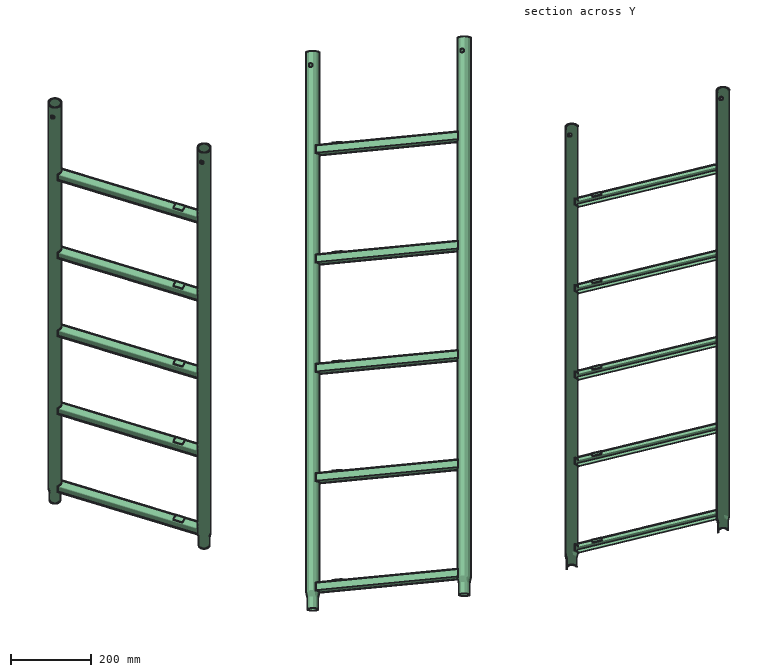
import cadquery as cq

LADDER_HEIGHT = 1426.0
STILE_SPACING = 400.0
STILE_DIAMETER = 33.7
TUBE_WALL = 2.4
SPIGOT_DIAMETER = 28.0
SPIGOT_LENGTH = 31.0
TAPER_LENGTH = 12.0
TAPER_BLEND_RADIUS = 15.0
SELECTION_MARGIN = 1.0
PIN_HOLE_DIAMETER = 10.0
PIN_HOLE_DROP = 36.0

RUNG_COUNT = 5
RUNG_PITCH = 280.0
FIRST_RUNG_TOP = 66.2
RUNG_DEPTH = 25.0
RUNG_HEIGHT = 22.5
RUNG_WALL = 2.0
RUNG_TOP_RADIUS = 3.5
RUNG_BOTTOM_RADIUS = 1.0

PAD_LENGTH = 25.0
PAD_RISE = 2.2
PAD_CENTER_X = 133.0

stile_radius = STILE_DIAMETER / 2
spigot_radius = SPIGOT_DIAMETER / 2
taper_top = SPIGOT_LENGTH + TAPER_LENGTH
stile_centers = [(-STILE_SPACING / 2, 0), (STILE_SPACING / 2, 0)]
rung_flat_width = RUNG_DEPTH - 2 * RUNG_TOP_RADIUS


def stile_envelope(tube_radius, foot_radius):
    """Solid of revolution: narrow foot, blended taper, then a straight length to the top."""
    half_profile = [
        (0, 0),
        (foot_radius, 0),
        (foot_radius, SPIGOT_LENGTH),
        (tube_radius, taper_top),
        (tube_radius, LADDER_HEIGHT),
        (0, LADDER_HEIGHT),
    ]
    solid = cq.Workplane("XZ").polyline(half_profile).close().revolve(360, (0, 0, 0), (0, 1, 0))
    taper_ends = cq.selectors.BoxSelector(
        (-STILE_DIAMETER, -STILE_DIAMETER, SPIGOT_LENGTH - SELECTION_MARGIN),
        (STILE_DIAMETER, STILE_DIAMETER, taper_top + SELECTION_MARGIN),
    )
    return solid.edges("%CIRCLE").edges(taper_ends).fillet(TAPER_BLEND_RADIUS)


def make_stile(center):
    outside = stile_envelope(stile_radius, spigot_radius)
    bore = stile_envelope(stile_radius - TUBE_WALL, spigot_radius - TUBE_WALL)
    pin_hole = (
        cq.Workplane("XZ")
        .center(0, LADDER_HEIGHT - PIN_HOLE_DROP)
        .circle(PIN_HOLE_DIAMETER / 2)
        .extrude(STILE_DIAMETER, both=True)
    )
    return outside.cut(bore).cut(pin_hole).translate((*center, 0))


def make_rung(top_z):
    """Tube coped around both stiles, with its pad; modelled with the top at Z = 0."""
    outside = (
        cq.Workplane("YZ")
        .center(0, -RUNG_HEIGHT / 2)
        .rect(RUNG_DEPTH, RUNG_HEIGHT)
        .extrude(STILE_SPACING / 2, both=True)
        .edges("|X and >Z")
        .fillet(RUNG_TOP_RADIUS)
        .edges("|X and <Z")
        .fillet(RUNG_BOTTOM_RADIUS)
    )
    bore = (
        cq.Workplane("YZ")
        .center(0, -RUNG_HEIGHT / 2)
        .rect(RUNG_DEPTH - 2 * RUNG_WALL, RUNG_HEIGHT - 2 * RUNG_WALL)
        .extrude(STILE_SPACING / 2, both=True)
        .edges("|X and >Z")
        .fillet(RUNG_TOP_RADIUS - RUNG_WALL)
    )
    copes = (
        cq.Workplane("XY")
        .pushPoints(stile_centers)
        .circle(stile_radius)
        .extrude(2 * RUNG_HEIGHT, both=True)
    )
    pad = (
        cq.Workplane("XY")
        .center(PAD_CENTER_X, 0)
        .rect(PAD_LENGTH, rung_flat_width)
        .extrude(PAD_RISE)
    )
    return outside.cut(bore).cut(copes).union(pad).translate((0, 0, top_z))


stiles = [make_stile(center) for center in stile_centers]
rungs = [make_rung(FIRST_RUNG_TOP + i * RUNG_PITCH) for i in range(RUNG_COUNT)]

result = cq.Compound.makeCompound([body.solids().val() for body in stiles + rungs])